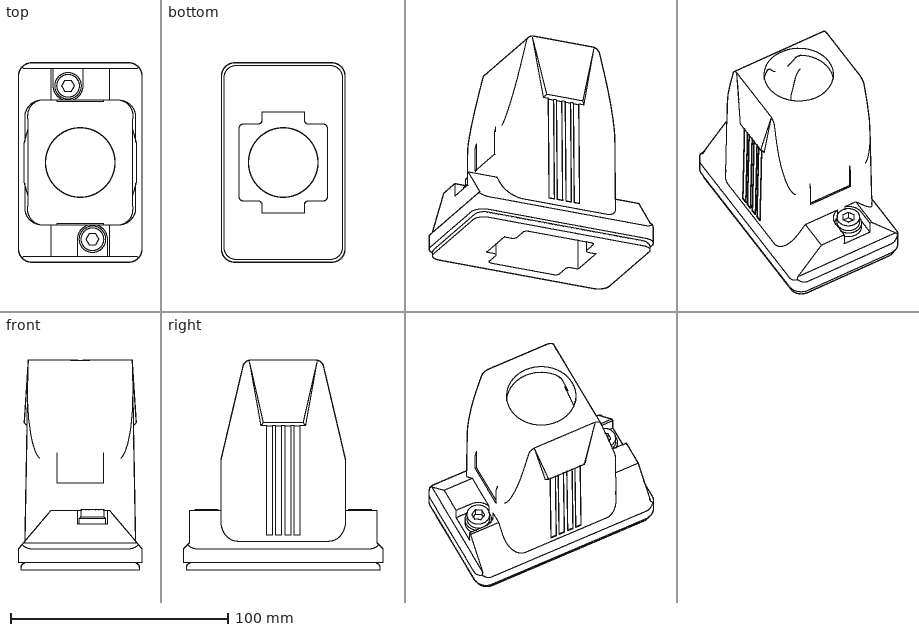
import cadquery as cq
import math

height = 96.8
flange_width = 57.0
flange_length = 92.0

foot_width = 54.6
foot_length = 89.25
foot_height = 3.4
foot_edge_radius = 2.2
foot_corner_radius = 5.5

flange_corner_radius = 6.2
flange_rim_top = 9.8
ridge_top = 27.5
ridge_top_width = 27.0
end_bevel_inset = 2.7
end_bevel_top = 12.6

tower_length = 57.5
tower_top_width = 48.0
tower_draft = math.tan(math.radians(1.05))
tower_corner_radius = 7.7
shoulder_height = 50.8
tower_top_length = 35.8
top_edge_radius = 3.9

bore_diameter = 31.9
cavity_width = 40.7
cavity_length = 35.4
cavity_corner_radius = 1.9
ceiling_edge_radius = 2.4
cavity_ceiling = 92.0
slope_wall = 5.0
niche_width = 19.4
niche_length = 46.5
niche_edge_radius = 1.9

label_width = 21.3
label_bottom = 40.1
label_depth = 0.73

pad_top = 95.8
pad_bottom = 66.6
pad_top_width = 30.0
pad_bottom_width = 20.5
pad_face_bottom = 68.05
pad_face_width = 51.7
pad_bevel_angle = 45.0
pad_root_depth = 1.0
groove_width = 2.7
groove_depth = 0.3
groove_bottom = 16.3
groove_positions = (-6.4, -2.2, 2.2, 6.4)

screw_x = 5.6
screw_y = 35.3
pocket_radius = 6.9
pocket_floor = 21.2
washer_radius = 6.1
washer_bevel_base = 23.8
head_base = 24.5
head_top = 27.9
head_radius = 5.2
socket_across_corners = 5.9
socket_depth = 3.9

clearance = 19.4

slope = (tower_length - tower_top_length) / 2 / (height - shoulder_height)


def tower_half_width(z):
    return tower_top_width / 2 + (height - z) * tower_draft


def extrude_along_y(points, length):
    return cq.Workplane("XZ").polyline(points).close().extrude(length / 2, both=True)


def extrude_along_x(points, length):
    return cq.Workplane("YZ").polyline(points).close().extrude(length / 2, both=True)


def rounded_block(width, length, bottom, top, radius):
    block = cq.Workplane("XY").workplane(offset=bottom).rect(width, length).extrude(top - bottom)
    return block.edges("|Z").fillet(radius)


def make_foot():
    foot = rounded_block(foot_width, foot_length, 0, foot_height, foot_corner_radius)
    return foot.faces(">Z").edges().fillet(foot_edge_radius)


def make_flange():
    half_width = flange_width / 2
    half_length = flange_length / 2
    ridge_half = ridge_top_width / 2
    end_face = half_length - end_bevel_inset
    ridge = extrude_along_y(
        [
            (-half_width, foot_height),
            (half_width, foot_height),
            (half_width, flange_rim_top),
            (ridge_half, ridge_top),
            (-ridge_half, ridge_top),
            (-half_width, flange_rim_top),
        ],
        flange_length,
    )
    end_profile = extrude_along_x(
        [
            (-half_length, foot_height),
            (half_length, foot_height),
            (half_length, flange_rim_top),
            (end_face, end_bevel_top),
            (end_face, ridge_top),
            (-end_face, ridge_top),
            (-end_face, end_bevel_top),
            (-half_length, flange_rim_top),
        ],
        flange_width,
    )
    outline = rounded_block(flange_width, flange_length, foot_height, ridge_top, flange_corner_radius)
    return ridge.intersect(end_profile).intersect(outline)


def make_tower():
    base_half = tower_half_width(foot_height)
    top_half = tower_half_width(height)
    half_length = tower_length / 2
    top_half_length = tower_top_length / 2
    column = extrude_along_y(
        [
            (-base_half, foot_height),
            (base_half, foot_height),
            (top_half, height),
            (-top_half, height),
        ],
        tower_length,
    )
    column = column.edges("not(|X or |Y)").fillet(tower_corner_radius)
    side_profile = extrude_along_x(
        [
            (-half_length, foot_height),
            (half_length, foot_height),
            (half_length, shoulder_height),
            (top_half_length, height),
            (-top_half_length, height),
            (-half_length, shoulder_height),
        ],
        flange_width,
    )
    side_profile = side_profile.faces(">Z").edges("|X").fillet(top_edge_radius)
    return column.intersect(side_profile)


def cavity_profile(width):
    """Block of the given width whose Y sides follow the tower's slope inside its wall."""
    shoulder_half = tower_length / 2 - slope_wall
    ceiling_half = shoulder_half - (cavity_ceiling - shoulder_height) * slope
    profile = extrude_along_x(
        [
            (-shoulder_half, 0),
            (shoulder_half, 0),
            (shoulder_half, shoulder_height),
            (ceiling_half, cavity_ceiling),
            (-ceiling_half, cavity_ceiling),
            (-shoulder_half, shoulder_height),
        ],
        width,
    )
    return profile.faces(">Z").edges("|X").fillet(ceiling_edge_radius)


def make_cavity():
    """Bore, tapering cavity and central niches, open at the bottom."""
    core = cq.Workplane("XY").rect(cavity_width, cavity_length).extrude(cavity_ceiling)
    core = core.intersect(cavity_profile(cavity_width))
    core = core.edges("not(|X or |Y)").fillet(cavity_corner_radius)

    niche = cq.Workplane("XY").rect(niche_width, niche_length).extrude(cavity_ceiling)
    mouth_width = niche_width + 2 * niche_edge_radius
    mouth_length = cavity_length + 2 * niche_edge_radius
    mouth = cq.Workplane("XY").rect(mouth_width, mouth_length).extrude(cavity_ceiling)
    rounded_edges = (
        cq.Workplane("XY")
        .rect(mouth_width, mouth_length, forConstruction=True)
        .vertices()
        .circle(niche_edge_radius)
        .extrude(cavity_ceiling)
    )
    mouth = mouth.cut(rounded_edges)
    niche = niche.union(mouth).intersect(cavity_profile(mouth_width))

    bore = cq.Workplane("XY").circle(bore_diameter / 2).extrude(height)
    return core.union(niche).union(bore)


def make_label_cut():
    """Shallow recess on the -Y face, running out through the slope above."""
    face_y = -tower_length / 2 + label_depth
    return cq.Workplane("XY").box(
        label_width, clearance, height - label_bottom, centered=(True, False, False)
    ).translate((0, face_y - clearance, label_bottom))


def make_grooves():
    """Grip grooves on the -X face, following its draft."""
    points = [
        (offset - tower_half_width(z), z)
        for z, offset in (
            (groove_bottom, -groove_depth),
            (groove_bottom, groove_depth),
            (pad_face_bottom, groove_depth),
            (pad_face_bottom, -groove_depth),
        )
    ]
    groove = extrude_along_y(points, groove_width)
    grooves = cq.Workplane("XY")
    for y in groove_positions:
        grooves = grooves.add(groove.translate((0, y, 0)))
    return grooves.combine()


def make_pad():
    """Wedge pad on the -X face, thinning out upward, with bevelled edges."""
    face_x = -pad_face_width / 2
    wedge_root = -tower_top_width / 2 + pad_root_depth
    spread = wedge_root + tower_half_width(pad_bottom)
    wedge = extrude_along_y(
        [
            (wedge_root, pad_bottom - spread),
            (face_x, pad_bottom - spread),
            (face_x, pad_face_bottom),
            (-tower_half_width(pad_top), pad_top),
            (wedge_root, pad_top),
        ],
        flange_width,
    )
    top_half = pad_top_width / 2
    bottom_half = pad_bottom_width / 2
    bevelled = (
        cq.Workplane("YZ", origin=(wedge_root, 0, 0))
        .polyline(
            [
                (-top_half, pad_top),
                (top_half, pad_top),
                (bottom_half, pad_bottom),
                (-bottom_half, pad_bottom),
            ]
        )
        .close()
        .offset2D(spread, "intersection")
        .extrude(face_x - wedge_root, taper=pad_bevel_angle)
    )
    return wedge.intersect(bevelled)


def make_pocket():
    """Pocket around the -Y screw, open toward -Y."""
    depth = ridge_top - pocket_floor
    pocket = cq.Workplane("XY").circle(pocket_radius).extrude(depth)
    run_out = cq.Workplane("XY").box(
        2 * pocket_radius, clearance, depth, centered=(True, False, False)
    ).translate((0, -clearance, 0))
    return pocket.union(run_out).translate((screw_x, -screw_y, pocket_floor))


def make_screw():
    screw = (
        cq.Workplane("XZ")
        .polyline(
            [
                (0, foot_height),
                (washer_radius, foot_height),
                (washer_radius, washer_bevel_base),
                (head_radius, head_base),
                (head_radius, head_top),
                (0, head_top),
            ]
        )
        .close()
        .revolve(360, (0, 0, 0), (0, 1, 0))
    )
    socket = (
        cq.Workplane("XY")
        .workplane(offset=head_top - socket_depth)
        .polygon(6, socket_across_corners)
        .extrude(socket_depth)
    )
    return screw.cut(socket).translate((screw_x, -screw_y, 0))


def both_ends(feature):
    """The feature together with its copy turned half a turn about Z."""
    return feature, feature.rotate((0, 0, 0), (0, 0, 1), 180)


flange = make_flange()
for pocket in both_ends(make_pocket()):
    flange = flange.cut(pocket)

tower = make_tower()
for label_cut in both_ends(make_label_cut()):
    tower = tower.cut(label_cut)
for grooves in both_ends(make_grooves()):
    tower = tower.cut(grooves)
for pad in both_ends(make_pad()):
    tower = tower.union(pad)

result = make_foot().union(flange).union(tower)
for screw in both_ends(make_screw()):
    result = result.union(screw)
result = result.cut(make_cavity())